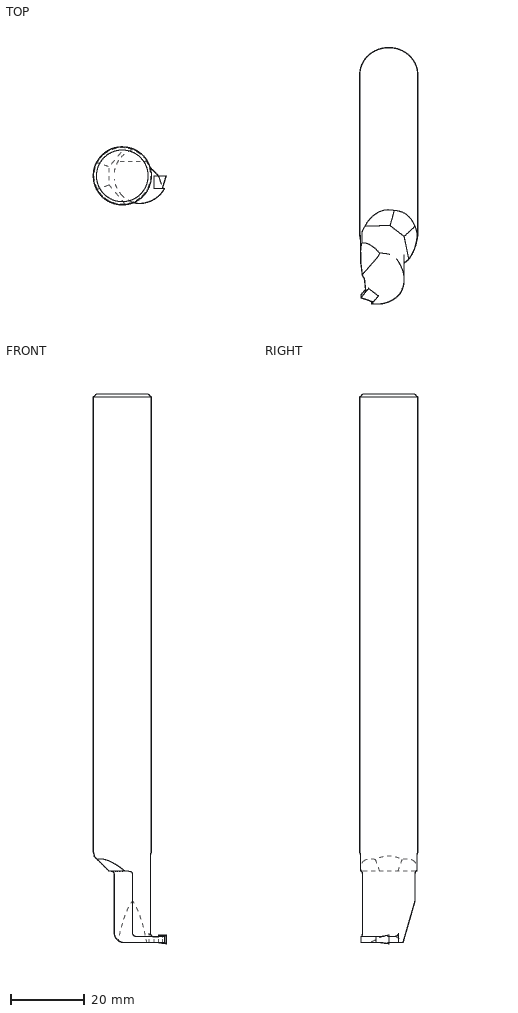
import cadquery as cq
import math

TOTAL_LENGTH = 150.0
SHANK_RADIUS = 15.9 / 2
COLLAR_RADIUS = 15.5 / 2
SHANK_BOTTOM_Z = 25.0
STEP_HEIGHT = 0.8
END_CHAMFER = 0.9
COLLAR_BOTTOM_Z = 19.8

MIDDLE_FLAT_AXIS_Z = 16.2
SIDE_FLAT_AXIS_Z = 15.5
SIDE_FLAT_ANGLE = 40.0
CUTTER_SIZE = 30.0

BACK_RADIUS = 7.6
BACK_CENTRE_X = 5.4
NECK_TOP_FILLET = 0.8

HEAD_BOTTOM_Z = 0.3
FOOT_TOP_Z = 2.0
FOOT_FILLET = 0.9
RELIEF_START_X = 4.4
RELIEF_MIDDLE = (8.4, -6.6)
RELIEF_END_X = 11.5
TOE_RADIUS = 2.8
TAPER_TOP_Z = 11.7
TAPER_BOTTOM_Y = 3.9

TIP_X = 12.0
INSERT_BACK_Y = -3.5
INSERT_BACK_X = 11.0
INSERT_INNER_X = COLLAR_RADIUS + FOOT_FILLET
EDGE_START_X = 9.9
LAND_START_X = 10.6
EDGE_TOP_Z = 2.4
LAND_DEPTH = 2.2

CORNER_X = (COLLAR_RADIUS**2 - BACK_RADIUS**2 + BACK_CENTRE_X**2) / (2 * BACK_CENTRE_X)
CORNER_Y = math.sqrt(COLLAR_RADIUS**2 - CORNER_X**2)


def cylinder(radius, bottom, top, centre_x=0.0):
    return cq.Workplane("XY", origin=(centre_x, 0, bottom)).circle(radius).extrude(top - bottom)


def fillet_ring(radius, size, face_z, direction, centre_x=0.0):
    """Concave ring round a cylinder, blending it into a flat face.

    The ring rises from the face for direction 1 and hangs below it for direction -1.
    """
    bend = size * (1 - math.sqrt(0.5))
    profile = (
        cq.Workplane("XZ")
        .moveTo(radius - size, face_z)
        .lineTo(radius + size, face_z)
        .threePointArc((radius + bend, face_z + direction * bend), (radius, face_z + direction * size))
        .lineTo(radius - size, face_z + direction * size)
        .close()
    )
    return profile.revolve(360, (0, 0, 0), (0, 1, 0)).translate((centre_x, 0, 0))


def make_round_stock():
    """The turned bar, its collar running the whole way down to the head."""
    profile = (
        cq.Workplane("XZ")
        .moveTo(0, HEAD_BOTTOM_Z)
        .lineTo(COLLAR_RADIUS, HEAD_BOTTOM_Z)
        .lineTo(COLLAR_RADIUS, SHANK_BOTTOM_Z - STEP_HEIGHT)
        .lineTo(SHANK_RADIUS, SHANK_BOTTOM_Z)
        .lineTo(SHANK_RADIUS, TOTAL_LENGTH - END_CHAMFER)
        .lineTo(SHANK_RADIUS - END_CHAMFER, TOTAL_LENGTH)
        .lineTo(0, TOTAL_LENGTH)
        .close()
    )
    return profile.revolve(360, (0, 0, 0), (0, 1, 0))


def flat_cutter(axis_z, angle):
    """Everything below a 45 degree plane that rises toward -X, turned about the Z axis."""
    return (
        cq.Workplane("XZ", origin=(0, CUTTER_SIZE / 2, 0))
        .moveTo(0, axis_z)
        .lineTo(-CUTTER_SIZE, axis_z + CUTTER_SIZE)
        .lineTo(-CUTTER_SIZE, axis_z)
        .close()
        .extrude(CUTTER_SIZE)
        .rotate((0, 0, 0), (0, 0, 1), angle)
    )


def foot_prism(height):
    """Region the foot may fill: round the relief arc, along the insert seat and the gullet."""
    start_offset = RELIEF_START_X - BACK_CENTRE_X
    relief_start_y = -math.sqrt(BACK_RADIUS**2 - start_offset**2)
    gullet_end_x = (EDGE_START_X + math.sqrt(2 * COLLAR_RADIUS**2 - EDGE_START_X**2)) / 2
    return (
        cq.Workplane("XY", origin=(0, 0, HEAD_BOTTOM_Z))
        .lineTo(0, -COLLAR_RADIUS)
        .lineTo(RELIEF_START_X, -COLLAR_RADIUS)
        .lineTo(RELIEF_START_X, relief_start_y)
        .threePointArc(RELIEF_MIDDLE, (RELIEF_END_X, INSERT_BACK_Y))
        .lineTo(INSERT_INNER_X, INSERT_BACK_Y)
        .lineTo(INSERT_INNER_X, 0)
        .lineTo(EDGE_START_X, 0)
        .lineTo(gullet_end_x, EDGE_START_X - gullet_end_x)
        .close()
        .extrude(height)
    )


def make_foot():
    plate_height = FOOT_TOP_Z - HEAD_BOTTOM_Z
    blend = fillet_ring(COLLAR_RADIUS, FOOT_FILLET, FOOT_TOP_Z, 1)
    return foot_prism(plate_height).union(blend.intersect(foot_prism(plate_height + FOOT_FILLET)))


def neck_cutter():
    """What is removed outside the back cylinder, up to the collar's end face and its sloping flats."""
    waste = cylinder(CUTTER_SIZE, HEAD_BOTTOM_Z, COLLAR_BOTTOM_Z)
    waste = waste.union(flat_cutter(MIDDLE_FLAT_AXIS_Z, 0))
    for angle in (-SIDE_FLAT_ANGLE, SIDE_FLAT_ANGLE):
        waste = waste.union(flat_cutter(SIDE_FLAT_AXIS_Z, angle))
    back = cylinder(BACK_RADIUS, HEAD_BOTTOM_Z, COLLAR_BOTTOM_Z, BACK_CENTRE_X)
    top_blend = fillet_ring(BACK_RADIUS, NECK_TOP_FILLET, COLLAR_BOTTOM_Z, -1, BACK_CENTRE_X)
    return waste.cut(back).cut(top_blend)


def toe_cutter():
    """Rounds the lower -X edge of the head along Y."""
    left = BACK_CENTRE_X - BACK_RADIUS
    bend = TOE_RADIUS * (1 - math.sqrt(0.5))
    return (
        cq.Workplane("XZ", origin=(0, CUTTER_SIZE / 2, 0))
        .moveTo(left, HEAD_BOTTOM_Z + TOE_RADIUS)
        .threePointArc((left + bend, HEAD_BOTTOM_Z + bend), (left + TOE_RADIUS, HEAD_BOTTOM_Z))
        .lineTo(left + TOE_RADIUS, HEAD_BOTTOM_Z - TOE_RADIUS)
        .lineTo(left - TOE_RADIUS, HEAD_BOTTOM_Z - TOE_RADIUS)
        .lineTo(left - TOE_RADIUS, HEAD_BOTTOM_Z + TOE_RADIUS)
        .close()
        .extrude(CUTTER_SIZE)
    )


def taper_cutter():
    """Slopes the +Y side of the neck inward toward the bottom."""
    return (
        cq.Workplane("YZ", origin=(-CUTTER_SIZE / 2, 0, 0))
        .moveTo(TAPER_BOTTOM_Y, HEAD_BOTTOM_Z)
        .lineTo(CORNER_Y, TAPER_TOP_Z)
        .lineTo(CUTTER_SIZE, TAPER_TOP_Z)
        .lineTo(CUTTER_SIZE, HEAD_BOTTOM_Z)
        .close()
        .extrude(CUTTER_SIZE)
    )


def make_bar():
    stock = make_round_stock().union(make_foot())
    return stock.cut(neck_cutter()).cut(toe_cutter()).cut(taper_cutter())


def make_insert():
    """Flat tip with a raised cutting edge at Y = 0, relieved behind the edge on all sides."""
    blade = (
        cq.Workplane("XY", origin=(0, 0, HEAD_BOTTOM_Z))
        .moveTo(INSERT_INNER_X, 0)
        .lineTo(TIP_X, 0)
        .lineTo(INSERT_BACK_X, INSERT_BACK_Y)
        .lineTo(INSERT_INNER_X, INSERT_BACK_Y)
        .close()
        .extrude(FOOT_TOP_Z - HEAD_BOTTOM_Z)
    )
    land_end_x = TIP_X + (TIP_X - INSERT_BACK_X) * LAND_DEPTH / INSERT_BACK_Y
    edge = (
        cq.Workplane("XZ")
        .moveTo(EDGE_START_X, HEAD_BOTTOM_Z)
        .lineTo(TIP_X, 0)
        .lineTo(TIP_X, EDGE_TOP_Z)
        .lineTo(EDGE_START_X, EDGE_TOP_Z)
        .close()
        .workplane(offset=LAND_DEPTH)
        .moveTo(LAND_START_X, HEAD_BOTTOM_Z)
        .lineTo(land_end_x, HEAD_BOTTOM_Z)
        .lineTo(land_end_x, FOOT_TOP_Z)
        .lineTo(LAND_START_X, FOOT_TOP_Z)
        .close()
        .loft(ruled=True)
    )
    return blade.union(edge)


bar = make_bar()
insert = make_insert()
result = cq.Compound.makeCompound([bar.val(), insert.val()])